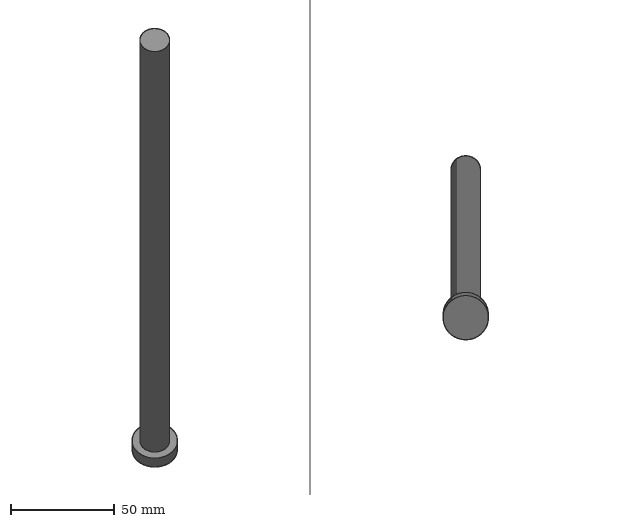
import cadquery as cq

total_length = 315.0
head_diameter = 22.0
head_height = 7.0
shank_diameter = 14.5
shank_length = total_length - head_height

head = (
    cq.Workplane("XY")
    .workplane(offset=-total_length / 2)
    .circle(head_diameter / 2)
    .extrude(head_height)
)

result = head.faces(">Z").workplane().circle(shank_diameter / 2).extrude(shank_length)